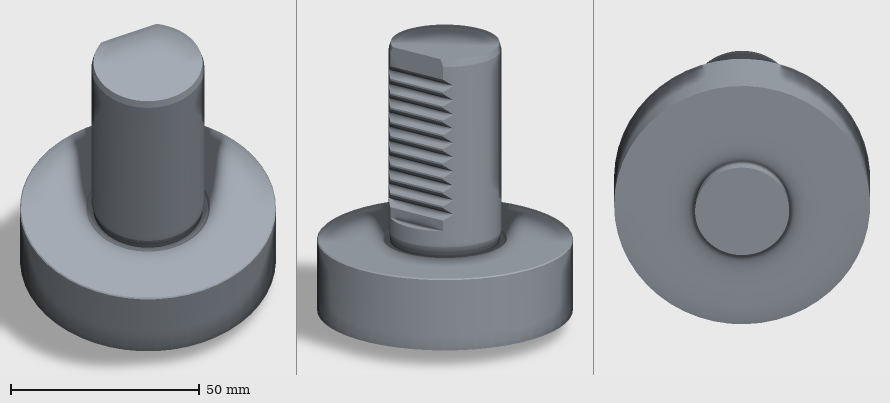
import cadquery as cq
import math


flange_diameter = 68.0
flange_thickness = 20.0
flange_edge_chamfer = 0.3

spigot_diameter = 25.0
spigot_length = 4.5

shank_diameter = 30.0
shank_length = 55.0
lead_in_length = 2.0
lead_in_angle = 15.0
neck_diameter = 29.1
neck_top = 0.6
neck_taper_top = 2.5

recess_floor_diameter = 32.0
recess_mouth_diameter = 33.0
recess_depth = 0.5

flat_distance = 12.0
flat_bottom = 7.0
gap_count = 10
gap_pitch = 4.0
lowest_gap_height = 11.7
gap_depth = 1.75
gap_half_angle = 45.0


def make_flange():
    """Flange disc with a broken upper rim and a recess around the neck."""
    flange = (
        cq.Workplane("XY")
        .workplane(offset=-flange_thickness)
        .circle(flange_diameter / 2)
        .extrude(flange_thickness)
        .faces(">Z")
        .chamfer(flange_edge_chamfer)
    )
    recess = cq.Solid.makeCone(
        recess_floor_diameter / 2,
        recess_mouth_diameter / 2,
        recess_depth,
        pnt=cq.Vector(0, 0, -recess_depth),
    )
    return flange.cut(cq.Workplane(recess))


def make_spigot():
    """Plain round spigot below the flange."""
    return (
        cq.Workplane("XY")
        .workplane(offset=-flange_thickness - spigot_length)
        .circle(spigot_diameter / 2)
        .extrude(spigot_length)
    )


def make_shank():
    """Round shank with a tapered neck at the seat and a conical lead-in at the top."""
    shank_radius = shank_diameter / 2
    neck_radius = neck_diameter / 2
    tip_radius = shank_radius - lead_in_length * math.tan(math.radians(lead_in_angle))
    profile = [
        (0, -recess_depth),
        (neck_radius, -recess_depth),
        (neck_radius, neck_top),
        (shank_radius, neck_taper_top),
        (shank_radius, shank_length - lead_in_length),
        (tip_radius, shank_length),
        (0, shank_length),
    ]
    return cq.Workplane("XZ").polyline(profile).close().revolve(360, (0, 0), (0, 1))


def cut_flat(shank):
    """Remove the -X side of the shank above the ledge."""
    cutter = (
        cq.Workplane("XY")
        .workplane(offset=flat_bottom)
        .center(-flat_distance - shank_diameter / 2, 0)
        .rect(shank_diameter, shank_diameter)
        .extrude(shank_length)
    )
    return shank.cut(cutter)


def cut_tooth_gaps(shank):
    """Cut the row of V grooves along Y into the flat."""
    half_gap = gap_depth * math.tan(math.radians(gap_half_angle))
    gap = (
        cq.Workplane("XZ")
        .polyline([(0, half_gap), (gap_depth, 0), (0, -half_gap)])
        .close()
        .extrude(shank_diameter / 2, both=True)
    )
    for index in range(gap_count):
        height = lowest_gap_height + index * gap_pitch
        shank = shank.cut(gap.translate((-flat_distance, 0, height)))
    return shank


shank = cut_tooth_gaps(cut_flat(make_shank()))
result = make_flange().union(make_spigot()).union(shank)